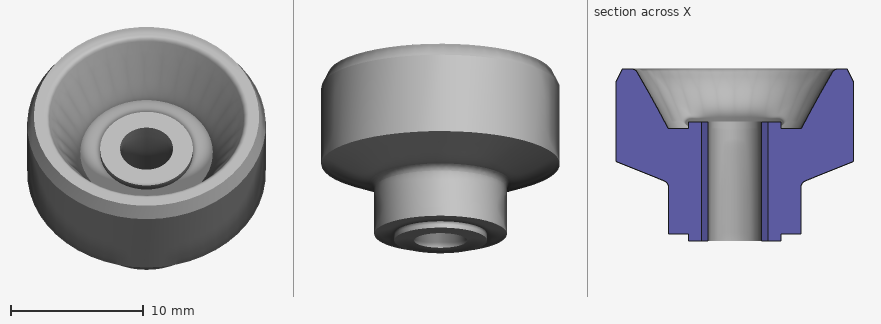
import cadquery as cq

wheel_diameter = 18.0
overall_height = 13.0
hub_diameter = 10.0
boss_diameter = 7.0
sleeve_diameter = 5.0
bore_diameter = 4.0
boss_projection = 0.5

rim_chamfer_height = 1.0
rim_chamfer_width = 0.5
rim_base_z = 6.0
hub_top_z = 4.4
hub_fillet_radius = 0.5

dish_mouth_diameter = 15.0
dish_floor_diameter = hub_diameter
boss_top_z = 9.0
dish_floor_z = boss_top_z - boss_projection
dish_fillet_radius = 0.5

wheel_radius = wheel_diameter / 2
hub_radius = hub_diameter / 2
boss_radius = boss_diameter / 2
sleeve_radius = sleeve_diameter / 2
dish_mouth_radius = dish_mouth_diameter / 2
dish_floor_radius = dish_floor_diameter / 2


def circular_edge(radius, z):
    """Selector for the circular edge of the given radius around the axis at height z."""
    margin = 0.02
    return cq.selectors.BoxSelector(
        (-radius - margin, -radius - margin, z - margin),
        (radius + margin, radius + margin, z + margin),
        boundingbox=True,
    )


def make_wheel():
    """Revolved wheel with a hub, a dished upper face and a boss at both ends."""
    profile = (
        cq.Workplane("XZ")
        .moveTo(sleeve_radius, 0)
        .lineTo(boss_radius, 0)
        .lineTo(boss_radius, boss_projection)
        .lineTo(hub_radius, boss_projection)
        .lineTo(hub_radius, hub_top_z)
        .lineTo(wheel_radius, rim_base_z)
        .lineTo(wheel_radius, overall_height - rim_chamfer_height)
        .lineTo(wheel_radius - rim_chamfer_width, overall_height)
        .lineTo(dish_mouth_radius, overall_height)
        .lineTo(dish_floor_radius, dish_floor_z)
        .lineTo(boss_radius, dish_floor_z)
        .lineTo(boss_radius, boss_top_z)
        .lineTo(sleeve_radius, boss_top_z)
        .close()
    )
    wheel = profile.revolve(360, (0, 0, 0), (0, 1, 0))
    wheel = wheel.edges(circular_edge(hub_radius, hub_top_z)).fillet(hub_fillet_radius)
    return wheel.edges(circular_edge(dish_mouth_radius, overall_height)).fillet(dish_fillet_radius)


def make_sleeve():
    """Plain bearing sleeve, flush with both boss faces of the wheel."""
    return (
        cq.Workplane("XY")
        .circle(sleeve_radius)
        .circle(bore_diameter / 2)
        .extrude(boss_top_z)
    )


wheel = make_wheel()
sleeve = make_sleeve()

result = cq.Compound.makeCompound([wheel.solids().val(), sleeve.val()])